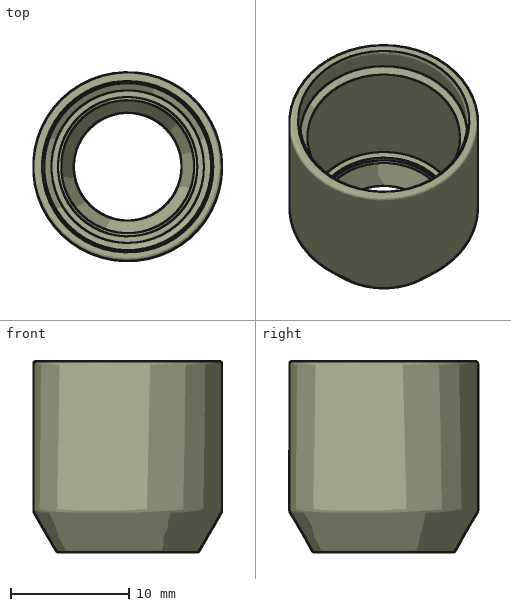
import cadquery as cq
import math

height = 16.2
outer_radius = 16.0 / 2

nose_radius = 12.0 / 2
mouth_radius = 9.1 / 2
throat_radius = 11.26 / 2
taper_angle = 30.0

seat_radius = 11.8 / 2
seat_depth = 0.4
floor_radius = 12.54 / 2
bore_radius = 12.91 / 2
rim_bore_radius = 14.15 / 2
rim_bore_depth = 2.01
step_angle = 30.0
lip_radius = 14.5 / 2

nose_fillet = 0.25
top_fillet = 0.3
shoulder_fillet = 0.5
bore_round = 0.5

taper_slope = math.tan(math.radians(taper_angle))
shoulder_z = (outer_radius - nose_radius) / taper_slope
throat_z = (throat_radius - mouth_radius) / taper_slope
floor_z = throat_z + seat_depth
step_top_z = height - rim_bore_depth
step_bottom_z = step_top_z - (rim_bore_radius - bore_radius) * math.tan(math.radians(step_angle))


def arc_rise(radius, run):
    """Return how far an arc leaves its tangent line at distance run along it."""
    return radius - math.sqrt(radius**2 - run**2)


def arc_run(radius, rise):
    """Return the distance along the tangent line at which an arc has left it by rise."""
    return math.sqrt(radius**2 - (radius - rise) ** 2)


entry_z = height - arc_run(bore_round, lip_radius - rim_bore_radius)
floor_arc_z = floor_z + arc_rise(bore_round, bore_radius - floor_radius)


def sharp_sleeve():
    """Revolve the wall section, with sharp outer corners, about the Z axis."""
    section = (
        cq.Workplane("XZ")
        .moveTo(mouth_radius, 0)
        .lineTo(nose_radius, 0)
        .lineTo(outer_radius, shoulder_z)
        .lineTo(outer_radius, height)
        .lineTo(lip_radius, height)
        .radiusArc((rim_bore_radius, entry_z), -bore_round)
        .lineTo(rim_bore_radius, step_top_z)
        .lineTo(bore_radius, step_bottom_z)
        .lineTo(bore_radius, floor_arc_z)
        .radiusArc((floor_radius, floor_z), bore_round)
        .lineTo(seat_radius, floor_z)
        .lineTo(seat_radius, throat_z)
        .lineTo(throat_radius, throat_z)
        .close()
    )
    return section.revolve(360, (0, 0), (0, 1))


def round_outer_corner(body, radius, z, fillet):
    """Fillet the outermost circular edge, of the given radius, at height z."""
    margin = 0.02
    reach = radius + margin
    lower = (-reach, -reach, z - margin)
    upper = (reach, reach, z + margin)
    level = cq.selectors.BoxSelector(lower, upper, boundingbox=True)
    outermost = cq.selectors.RadiusNthSelector(-1)
    return body.edges(level).edges(outermost).fillet(fillet)


result = sharp_sleeve()
result = round_outer_corner(result, nose_radius, 0, nose_fillet)
result = round_outer_corner(result, outer_radius, shoulder_z, shoulder_fillet)
result = round_outer_corner(result, outer_radius, height, top_fillet)